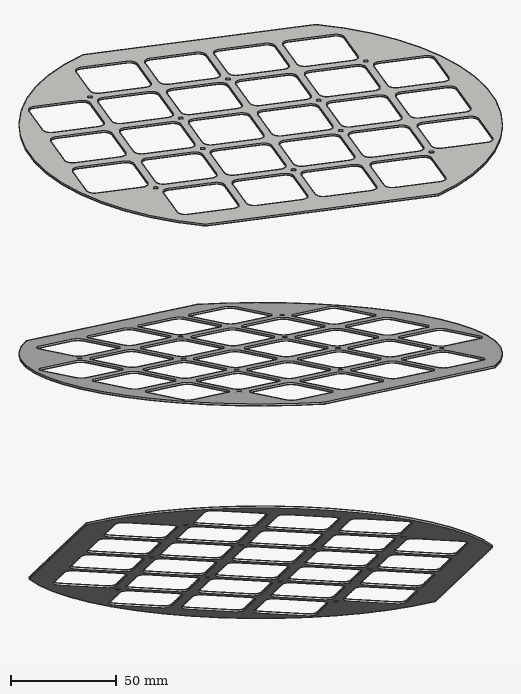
import cadquery as cq

disc_diameter = 228.0
width_across_flats = 197.0
thickness = 1.02

window_size = 30.2
window_corner_radius = 4.0
pitch_x = 35.2
pitch_y = 34.0
row_count = 6
long_row_windows = 5
short_row_windows = 3

hole_diameter = 2.2
outer_hole_x = 1.5 * pitch_x
inner_hole_x = 0.5 * pitch_x
outer_hole_rows = (-2 * pitch_y, 0.0, 2 * pitch_y)
inner_hole_rows = (-pitch_y, pitch_y)


def make_plate():
    disc = cq.Workplane("XY").circle(disc_diameter / 2).extrude(thickness)
    flats = cq.Workplane("XY").rect(width_across_flats, disc_diameter).extrude(thickness)
    return disc.intersect(flats)


def window_centers():
    centers = []
    for row in range(row_count):
        is_end_row = row in (0, row_count - 1)
        count = short_row_windows if is_end_row else long_row_windows
        y = (row - (row_count - 1) / 2) * pitch_y
        for column in range(count):
            x = (column - (count - 1) / 2) * pitch_x
            centers.append((x, y))
    return centers


def make_windows():
    windows = (
        cq.Workplane("XY")
        .pushPoints(window_centers())
        .rect(window_size, window_size)
        .extrude(thickness)
    )
    return windows.edges("|Z").fillet(window_corner_radius)


def hole_centers():
    outer = [(side * outer_hole_x, y) for y in outer_hole_rows for side in (-1, 1)]
    inner = [(side * inner_hole_x, y) for y in inner_hole_rows for side in (-1, 1)]
    return outer + inner


def make_holes():
    return (
        cq.Workplane("XY")
        .pushPoints(hole_centers())
        .circle(hole_diameter / 2)
        .extrude(thickness)
    )


result = make_plate().cut(make_windows()).cut(make_holes())